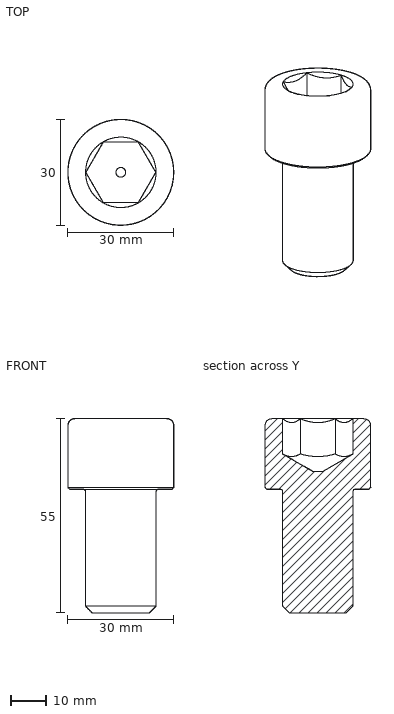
import cadquery as cq
import math

total_length = 55.0
head_diameter = 30.0
head_height = 20.0
shank_diameter = 20.0
head_top_fillet = 2.0
head_bottom_chamfer = 0.55
neck_fillet = 0.65
tip_chamfer = 2.0

socket_across_flats = 17.1
socket_depth = 10.0
socket_mouth_diameter = 19.9
mouth_chamfer_angle = 40.0
floor_flat_diameter = 2.75
floor_cone_angle = 30.0

shank_length = total_length - head_height
socket_across_corners = socket_across_flats / math.cos(math.radians(30))


def make_head():
    head = cq.Workplane("XY").workplane(offset=shank_length).circle(head_diameter / 2).extrude(head_height)
    return head.faces(">Z").edges().fillet(head_top_fillet).faces("<Z").edges().chamfer(head_bottom_chamfer)


def make_shank():
    shank = cq.Workplane("XY").circle(shank_diameter / 2).extrude(shank_length)
    return shank.faces("<Z").edges().chamfer(tip_chamfer)


def make_neck_fillet():
    """Disc with a concave quarter-round flank between shank and head."""
    shank_radius = shank_diameter / 2
    arc_reach = neck_fillet * (1 - math.sqrt(0.5))
    profile = (
        cq.Workplane("XZ")
        .moveTo(0, shank_length - neck_fillet)
        .lineTo(shank_radius, shank_length - neck_fillet)
        .threePointArc(
            (shank_radius + arc_reach, shank_length - arc_reach),
            (shank_radius + neck_fillet, shank_length),
        )
        .lineTo(0, shank_length)
        .close()
    )
    return profile.revolve(360, (0, 0, 0), (0, 1, 0))


def cone_with_flat_tip(top_z, top_diameter, tip_diameter, angle):
    """Downward tapering cone; the angle is measured from horizontal."""
    depth = (top_diameter - tip_diameter) / 2 * math.tan(math.radians(angle))
    return (
        cq.Workplane("XY")
        .workplane(offset=top_z)
        .circle(top_diameter / 2)
        .workplane(offset=-depth)
        .circle(tip_diameter / 2)
        .loft(combine=True)
    )


def make_socket():
    floor_z = total_length - socket_depth
    floor = cone_with_flat_tip(
        floor_z, socket_across_corners, floor_flat_diameter, floor_cone_angle
    )
    hexagon = (
        cq.Workplane("XY")
        .polygon(6, socket_across_corners)
        .extrude(total_length)
    )
    bore = (
        cq.Workplane("XY")
        .workplane(offset=floor_z)
        .circle(socket_across_corners / 2)
        .extrude(socket_depth)
        .union(floor)
    )
    mouth = cone_with_flat_tip(
        total_length, socket_mouth_diameter, socket_across_flats, mouth_chamfer_angle
    )
    return hexagon.intersect(bore).union(mouth)


result = make_head().union(make_shank()).union(make_neck_fillet()).cut(make_socket())